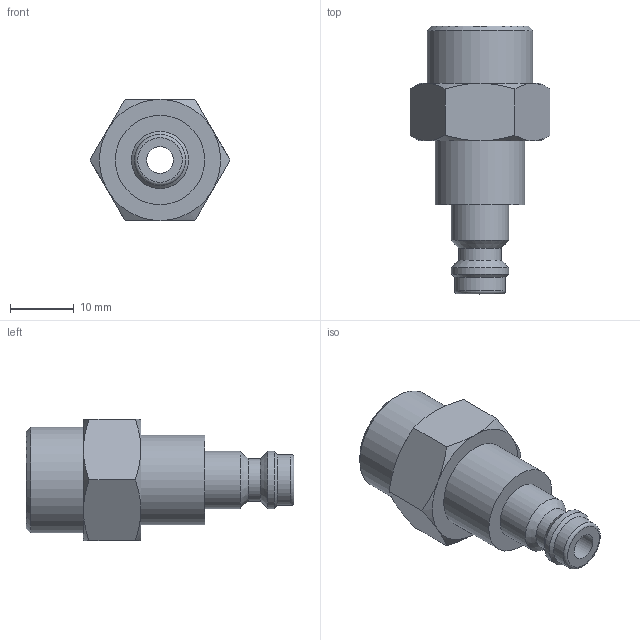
import cadquery as cq
import math


TOTAL_LENGTH = 42.0
SPIGOT_LENGTH = 9.0
HEX_WIDTH = 9.0
SLEEVE_LENGTH = 10.0
SHANK_LENGTH = 5.6
NECK_LENGTH = 1.9
COLLAR_LENGTH = 1.5
TIP_LENGTH = 2.6

SPIGOT_DIAMETER = 16.6
SLEEVE_DIAMETER = 14.0
SHANK_DIAMETER = 9.0
NECK_DIAMETER = 6.7
TIP_DIAMETER = 8.0
BORE_DIAMETER = 4.2

ACROSS_FLATS = 19.0
HEX_CHAMFER_ANGLE = 30.0
SPIGOT_CHAMFER = 0.7
COLLAR_CHAMFER = 0.5
TIP_ROUND = 0.5

ACROSS_CORNERS = ACROSS_FLATS / math.cos(math.radians(30.0))
HEX_CHAMFER_DEPTH = (ACROSS_CORNERS - ACROSS_FLATS) / 2 * math.tan(math.radians(HEX_CHAMFER_ANGLE))
HEX_START = SPIGOT_LENGTH
SLEEVE_START = HEX_START + HEX_WIDTH
SHANK_START = SLEEVE_START + SLEEVE_LENGTH
SHANK_END = SHANK_START + SHANK_LENGTH
TIP_START = TOTAL_LENGTH - TIP_LENGTH
COLLAR_START = TIP_START - COLLAR_LENGTH
GROOVE_CONE_LENGTH = (COLLAR_START - SHANK_END - NECK_LENGTH) / 2


def cylinder(start, length, diameter):
    """Cylinder on the Y axis, from a station toward the plug tip."""
    return cq.Workplane("XZ", origin=(0, -start, 0)).circle(diameter / 2).extrude(length)


def revolve_profile(profile):
    """Revolve a closed (radius, y) half profile about the Y axis."""
    return profile.close().revolve(360, (0, 0, 0), (0, 1, 0))


def make_spigot():
    spigot = cylinder(0, SPIGOT_LENGTH, SPIGOT_DIAMETER)
    return spigot.faces(">Y").edges().chamfer(SPIGOT_CHAMFER)


def make_hexagon():
    """Hexagon with its corners on X, turned down conically on both sides."""
    prism = (
        cq.Workplane("XZ", origin=(0, -HEX_START, 0))
        .polygon(6, ACROSS_CORNERS)
        .extrude(HEX_WIDTH)
    )
    face_radius = ACROSS_FLATS / 2
    corner_radius = ACROSS_CORNERS / 2
    turned_blank = revolve_profile(
        cq.Workplane("XY")
        .moveTo(0, -HEX_START)
        .lineTo(face_radius, -HEX_START)
        .lineTo(corner_radius, -HEX_START - HEX_CHAMFER_DEPTH)
        .lineTo(corner_radius, -SLEEVE_START + HEX_CHAMFER_DEPTH)
        .lineTo(face_radius, -SLEEVE_START)
        .lineTo(0, -SLEEVE_START)
    )
    return prism.intersect(turned_blank)


def make_groove():
    """Locking groove: a straight neck between two cones."""
    shank_radius = SHANK_DIAMETER / 2
    neck_radius = NECK_DIAMETER / 2
    return revolve_profile(
        cq.Workplane("XY")
        .moveTo(shank_radius, -SHANK_END)
        .lineTo(neck_radius, -SHANK_END - GROOVE_CONE_LENGTH)
        .lineTo(neck_radius, -COLLAR_START + GROOVE_CONE_LENGTH)
        .lineTo(shank_radius, -COLLAR_START)
    )


def make_plug():
    shank = cylinder(SHANK_START, TIP_START - SHANK_START, SHANK_DIAMETER)
    shank = shank.faces("<Y").edges().chamfer(COLLAR_CHAMFER)
    tip = cylinder(TIP_START, TIP_LENGTH, TIP_DIAMETER)
    tip = tip.faces("<Y").edges().fillet(TIP_ROUND)
    return shank.cut(make_groove()).union(tip)


sleeve = cylinder(SLEEVE_START, SLEEVE_LENGTH, SLEEVE_DIAMETER)
bore = cylinder(0, TOTAL_LENGTH, BORE_DIAMETER)
result = make_spigot().union(make_hexagon()).union(sleeve).union(make_plug()).cut(bore)